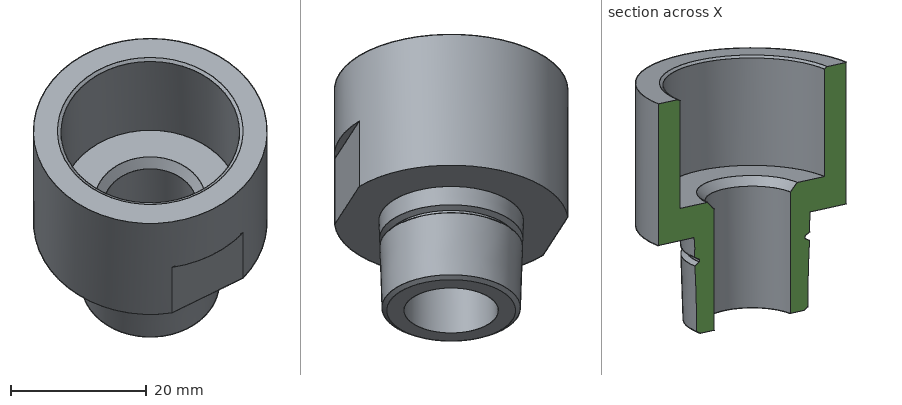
import cadquery as cq

total_height = 37.0
shoulder_z = 15.02

body_radius = 17.25
flat_offset = 16.1
flat_height = (total_height - shoulder_z) / 2

tip_radius = 10.2
radial_taper = 1 / 32
tip_chamfer_height = 0.45
tip_face_radius = 9.5
groove_radius = 9.73
groove_lower_edge_z = 10.65
groove_floor_bottom_z = 11.15
groove_floor_top_z = 11.5
groove_upper_edge_z = 12.0

socket_radius = 13.17
socket_depth = 16.9
socket_mouth_radius = 13.7
socket_chamfer_height = 0.3
hole_radius = 6.95
hole_mouth_radius = 8.2


def taper_point(z):
    """Point on the tapered spigot surface, as (radius, z)."""
    return (tip_radius + radial_taper * z, z)


def revolve_profile(points):
    """Solid of revolution about Z from (radius, z) points."""
    return cq.Workplane("XZ").polyline(points).close().revolve(360, (0, 0), (0, 1))


def make_outer_shape():
    return revolve_profile([
        (0, 0),
        (tip_face_radius, 0),
        taper_point(tip_chamfer_height),
        taper_point(groove_lower_edge_z),
        (groove_radius, groove_floor_bottom_z),
        (groove_radius, groove_floor_top_z),
        taper_point(groove_upper_edge_z),
        taper_point(shoulder_z),
        (body_radius, shoulder_z),
        (body_radius, total_height),
        (0, total_height),
    ])


def make_inner_cavity():
    socket_floor_z = total_height - socket_depth
    hole_chamfer = hole_mouth_radius - hole_radius
    return revolve_profile([
        (0, 0),
        (hole_radius, 0),
        (hole_radius, socket_floor_z - hole_chamfer),
        (hole_mouth_radius, socket_floor_z),
        (socket_radius, socket_floor_z),
        (socket_radius, total_height - socket_chamfer_height),
        (socket_mouth_radius, total_height),
        (0, total_height),
    ])


def make_flat_cutter(side):
    """Block that trims the lower body beyond one flat; side is -1 or 1."""
    block_width = body_radius
    return cq.Workplane("XY").box(
        block_width, 2 * body_radius, flat_height, centered=(True, True, False)
    ).translate((side * (flat_offset + block_width / 2), 0, shoulder_z))


result = make_outer_shape().cut(make_inner_cavity())
for flat_side in (-1, 1):
    result = result.cut(make_flat_cutter(flat_side))